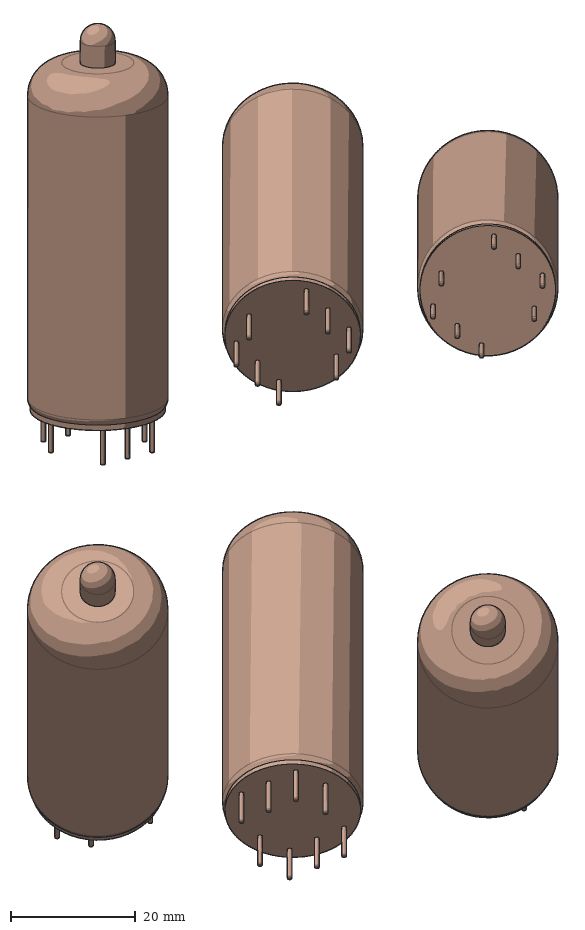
import cadquery as cq
import math

total_height = 71.45
pin_length = 6.35
base_top = 7.3
body_bottom = 8.3
shoulder_height = 64.95

body_radius = 22.6 / 2
base_radius = 21.8 / 2
shoulder_radius = 5.5
bottom_round = 1.4

tip_radius = 5.65 / 2

pin_diameter = 0.8
pin_end_round = 0.2
pin_pitch = 5.1
pin_row = 1.5 * pin_pitch

diagonal = math.sqrt(0.5)


def make_envelope():
    """Revolve the half profile of the base, glass body and exhaust tip."""
    shoulder_bottom = shoulder_height - shoulder_radius
    flat_radius = body_radius - shoulder_radius
    tip_center = total_height - tip_radius
    shoulder_middle = (
        flat_radius + shoulder_radius * diagonal,
        shoulder_bottom + shoulder_radius * diagonal,
    )
    tip_middle = (tip_radius * diagonal, tip_center + tip_radius * diagonal)
    return (
        cq.Workplane("XZ")
        .moveTo(0, pin_length)
        .lineTo(base_radius, pin_length)
        .lineTo(base_radius, base_top)
        .radiusArc((body_radius, body_bottom), -bottom_round)
        .lineTo(body_radius, shoulder_bottom)
        .threePointArc(shoulder_middle, (flat_radius, shoulder_height))
        .lineTo(tip_radius, shoulder_height)
        .lineTo(tip_radius, tip_center)
        .threePointArc(tip_middle, (0, total_height))
        .close()
        .revolve(360, (0, 0, 0), (0, 1, 0))
    )


def make_pins():
    """Three pins on each X side and one offset pin on each Y side."""
    positions = []
    for side in (-1, 1):
        for row in (-1, 0, 1):
            positions.append((side * pin_row, row * pin_pitch))
        positions.append((side * pin_pitch / 2, side * pin_row))
    return (
        cq.Workplane("XY")
        .pushPoints(positions)
        .circle(pin_diameter / 2)
        .extrude(base_top)
        .faces("<Z")
        .edges()
        .fillet(pin_end_round)
    )


result = make_envelope().union(make_pins())